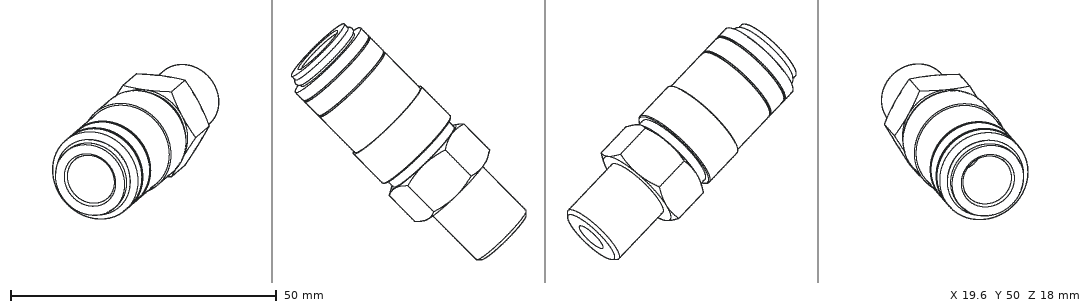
import cadquery as cq
import math

total_length = 50.0

lip_radius = 7.0
lip_length = 2.7
bead_radius = 7.45
bead_station = 1.65
bead_half_width = 0.65

body_radius = 8.65
groove_starts = (4.9, 8.9)
groove_width = 0.3
groove_depth = 0.15
sleeve_radius = 9.0
sleeve_start = 18.7
sleeve_end = 26.7
sleeve_chamfer = 0.2
neck_radius = 8.05

hex_start = 28.5
hex_end = 37.0
hex_across_flats = 17.0
hex_chamfer_angle = 30.0

spigot_radius = 6.6
spigot_chamfer = 0.65

through_radius = 3.0
bore_radius = 4.75
bore_depth = 20.0
mouth_chamfer = 0.45

hex_corner_radius = hex_across_flats / math.sqrt(3)


def station(distance):
    """Y coordinate of a distance from the mouth; the part is centred on the origin."""
    return distance - total_length / 2


def revolve_profile(profile):
    """Turn a closed (radius, Y) outline around the Y axis."""
    return profile.close().revolve(360, (0, 0, 0), (0, 1, 0))


def cylinder(radius, start, end):
    """Round bar along Y between two stations."""
    return (
        cq.Workplane("XZ", origin=(0, station(start), 0))
        .circle(radius)
        .extrude(start - end)
    )


def make_lip():
    """Thin front tube carrying the rounded bead."""
    return revolve_profile(
        cq.Workplane("XY")
        .moveTo(0, station(0))
        .lineTo(lip_radius, station(0))
        .lineTo(lip_radius, station(bead_station - bead_half_width))
        .threePointArc(
            (bead_radius, station(bead_station)),
            (lip_radius, station(bead_station + bead_half_width)),
        )
        .lineTo(lip_radius, station(lip_length))
        .lineTo(0, station(lip_length))
    )


def make_body():
    """Grooved body."""
    body = cylinder(body_radius, lip_length, sleeve_start)
    for start in groove_starts:
        end = start + groove_width
        groove_floor = cylinder(body_radius - groove_depth, start, end)
        body = body.cut(cylinder(sleeve_radius, start, end).cut(groove_floor))
    return body


def make_hex():
    """Hexagon whose corners are trimmed by a cone at both ends."""
    flat_radius = hex_across_flats / 2
    cone_drop = (hex_corner_radius - flat_radius) * math.tan(math.radians(hex_chamfer_angle))
    prism = (
        cq.Workplane("XZ", origin=(0, station(hex_start), 0))
        .polygon(6, 2 * hex_corner_radius)
        .extrude(hex_start - hex_end)
    )
    trim = revolve_profile(
        cq.Workplane("XY")
        .moveTo(0, station(hex_start))
        .lineTo(flat_radius, station(hex_start))
        .lineTo(hex_corner_radius, station(hex_start + cone_drop))
        .lineTo(hex_corner_radius, station(hex_end - cone_drop))
        .lineTo(flat_radius, station(hex_end))
        .lineTo(0, station(hex_end))
    )
    return prism.intersect(trim)


def make_spigot():
    """Plain rear spigot with a chamfered end."""
    spigot = cylinder(spigot_radius, hex_end, total_length)
    return spigot.faces(">Y").chamfer(spigot_chamfer)


def make_bore():
    """Chamfered mouth, wide socket and narrow through hole."""
    return revolve_profile(
        cq.Workplane("XY")
        .moveTo(0, station(0))
        .lineTo(bore_radius + mouth_chamfer, station(0))
        .lineTo(bore_radius, station(mouth_chamfer))
        .lineTo(bore_radius, station(bore_depth))
        .lineTo(through_radius, station(bore_depth))
        .lineTo(through_radius, station(total_length))
        .lineTo(0, station(total_length))
    )


sleeve = cylinder(sleeve_radius, sleeve_start, sleeve_end).faces(">Y").chamfer(sleeve_chamfer)
neck = cylinder(neck_radius, sleeve_end, hex_start)

result = (
    make_lip()
    .union(make_body())
    .union(sleeve)
    .union(neck)
    .union(make_hex())
    .union(make_spigot())
    .cut(make_bore())
)